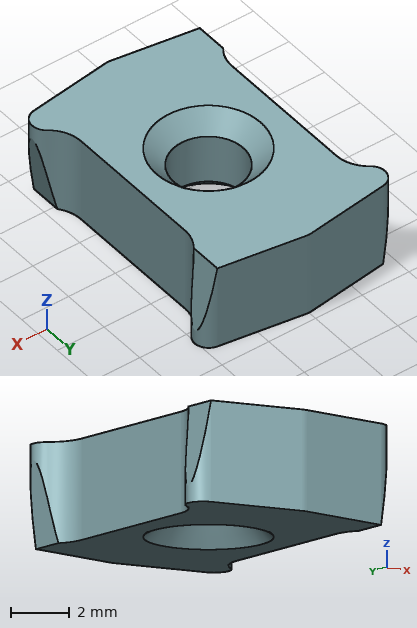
import cadquery as cq
import math


WIDTH = 8.13
LENGTH = 11.3
THICKNESS = 3.52

NOSE_RADIUS = 0.6
END_SLOPE = math.radians(8.0)
APEX_RADIUS = 0.72
WAIST_WIDTH = 6.46
WAIST_STRAIGHT_HALF = 2.93

RELIEF_ANGLE = math.radians(10.0)
RELIEF_RUNOUT_DEPTH = 2.92

HOLE_DIAMETER = 2.95
SINK_DIAMETER = 4.45
SINK_ANGLE = 90.0

half_width = WIDTH / 2
half_length = LENGTH / 2
half_thickness = THICKNESS / 2
half_waist = WAIST_WIDTH / 2


def point_on_circle(center, radius, angle):
    """Point at the given angle (radians from +X) on a circle."""
    return (center[0] + radius * math.cos(angle), center[1] + radius * math.sin(angle))


def right_half_outline():
    """Right half of the outline (X >= 0), from the back apex to the front apex.

    Returns the start point and the (middle, end) pairs of each edge; a middle of
    None marks a straight edge.
    """
    end_normal = math.pi / 2 - END_SLOPE

    apex = (0, half_length)
    apex_center = (0, half_length - APEX_RADIUS)
    apex_middle = point_on_circle(apex_center, APEX_RADIUS, (math.pi / 2 + end_normal) / 2)
    slope_start = point_on_circle(apex_center, APEX_RADIUS, end_normal)

    nose_x = half_width - NOSE_RADIUS
    nose_offset = (APEX_RADIUS - NOSE_RADIUS) / math.cos(END_SLOPE)
    nose_y = apex_center[1] - nose_x * math.tan(END_SLOPE) + nose_offset
    nose_center = (nose_x, nose_y)
    slope_end = point_on_circle(nose_center, NOSE_RADIUS, end_normal)
    nose_middle = point_on_circle(nose_center, NOSE_RADIUS, 0)

    inset = nose_x - half_waist
    drop = nose_y - WAIST_STRAIGHT_HALF
    neck_radius = (inset**2 + drop**2 - NOSE_RADIUS**2) / (2 * (NOSE_RADIUS + inset))
    neck_center = (half_waist + neck_radius, WAIST_STRAIGHT_HALF)
    neck_angle = math.atan2(nose_y - neck_center[1], nose_x - neck_center[0])
    neck_start = point_on_circle(neck_center, neck_radius, neck_angle)
    neck_middle = point_on_circle(neck_center, neck_radius, (neck_angle + math.pi) / 2)
    neck_end = (half_waist, WAIST_STRAIGHT_HALF)

    def mirrored(point):
        return (point[0], -point[1])

    edges = [
        (apex_middle, slope_start),
        (None, slope_end),
        (nose_middle, neck_start),
        (neck_middle, neck_end),
        (None, mirrored(neck_end)),
        (mirrored(neck_middle), mirrored(neck_start)),
        (mirrored(nose_middle), mirrored(slope_end)),
        (None, mirrored(slope_start)),
        (mirrored(apex_middle), mirrored(apex)),
    ]
    return apex, edges


def make_body():
    """Plate with the full outline."""
    start, edges = right_half_outline()
    profile = cq.Workplane("XY").workplane(offset=-half_thickness).moveTo(*start)
    for middle, end in edges:
        if middle is None:
            profile = profile.lineTo(*end)
        else:
            profile = profile.threePointArc(middle, end)
    half = profile.close().extrude(THICKNESS)
    return half.union(half.mirror("YZ")).clean()


def relief_cutter():
    """Wedge outside the relief face of the back right nose, deepest at the top."""
    relief_depth = RELIEF_RUNOUT_DEPTH * math.tan(RELIEF_ANGLE)
    return (
        cq.Workplane("XZ")
        .moveTo(half_width - relief_depth, half_thickness)
        .lineTo(half_width, half_thickness)
        .lineTo(half_width, half_thickness - RELIEF_RUNOUT_DEPTH)
        .close()
        .extrude(-half_length)
    )


def cut_reliefs(body):
    """Relieve two opposite noses at the top and the other two at the bottom."""
    top_relief = relief_cutter()
    bottom_relief = top_relief.rotate((0, 0, 0), (1, 0, 0), 180)
    for relief in (top_relief, bottom_relief):
        body = body.cut(relief)
        body = body.cut(relief.rotate((0, 0, 0), (0, 0, 1), 180))
    return body


def cut_screw_hole(body):
    """Through hole countersunk on both faces, as the insert can be turned over."""
    for face in (">Z", "<Z"):
        body = body.faces(face).workplane(origin=(0, 0, 0)).cskHole(
            HOLE_DIAMETER, SINK_DIAMETER, SINK_ANGLE
        )
    return body


result = cut_screw_hole(cut_reliefs(make_body()))